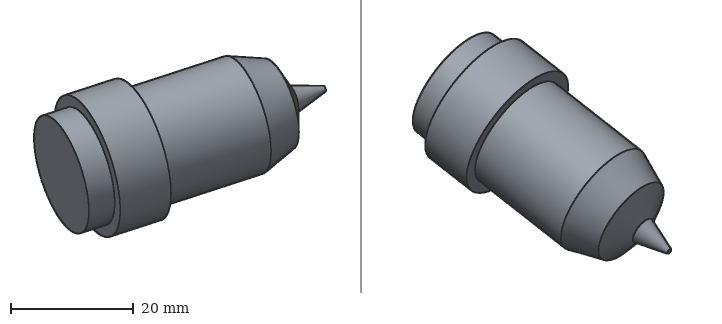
import cadquery as cq

total_length = 47.95

body_diameter = 20.25
collar_diameter = 24.3
shoulder_diameter = 15.6
needle_base_diameter = 4.8
tip_diameter = 1.0

base_length = 4.7
collar_length = 9.25
body_length = 19.2
taper_length = 6.25
shoulder_length = 2.6

collar_start = base_length
collar_end = collar_start + collar_length
taper_start = collar_end + body_length
shoulder_start = taper_start + taper_length
needle_start = shoulder_start + shoulder_length

profile = [
    (0, 0),
    (body_diameter / 2, 0),
    (body_diameter / 2, collar_start),
    (collar_diameter / 2, collar_start),
    (collar_diameter / 2, collar_end),
    (body_diameter / 2, collar_end),
    (body_diameter / 2, taper_start),
    (shoulder_diameter / 2, shoulder_start),
    (needle_base_diameter / 2, needle_start),
    (tip_diameter / 2, total_length),
    (0, total_length),
]

result = cq.Workplane("XY").polyline(profile).close().revolve(360, (0, 0, 0), (0, 1, 0))